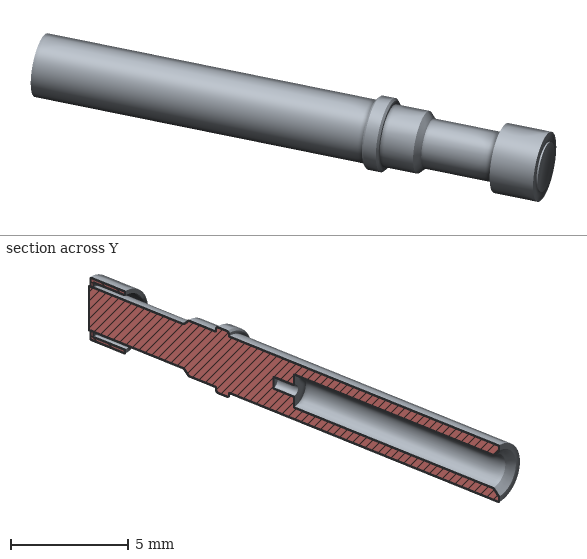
import cadquery as cq

total_length = 22.75
flange_start = 14.98
flange_width = 0.75
shoulder_end = 17.23
sleeve_start = 20.73
tip_projection = 0.07

barrel_radius = 1.39
flange_radius = 1.62
shoulder_radius = 1.37
shaft_radius = 1.1
flange_chamfer = 0.1

mouth_radius = 1.12
bore_radius = 0.8
countersink_depth = mouth_radius - bore_radius
bore_depth = 11.38
vent_radius = 0.27
vent_depth = 1.14

sleeve_radius = 1.52
sleeve_wall = 0.2
sleeve_floor = 0.2

flange_end = flange_start + flange_width
shoulder_cone_end = shoulder_end + shoulder_radius - shaft_radius
sleeve_end = total_length - tip_projection


def revolve_about_x(profile):
    """Revolve a closed profile of (x, radius) points about the X axis."""
    return cq.Workplane("XY").polyline(profile).close().revolve(360, (0, 0, 0), (1, 0, 0))


def make_contact():
    """Turned contact: drilled barrel, chamfered flange, shoulder and shaft."""
    outer = revolve_about_x([
        (0, 0),
        (0, barrel_radius),
        (flange_start, barrel_radius),
        (flange_start, flange_radius - flange_chamfer),
        (flange_start + flange_chamfer, flange_radius),
        (flange_end - flange_chamfer, flange_radius),
        (flange_end, flange_radius - flange_chamfer),
        (flange_end, shoulder_radius),
        (shoulder_end, shoulder_radius),
        (shoulder_cone_end, shaft_radius),
        (total_length, shaft_radius),
        (total_length, 0),
    ])
    bore = revolve_about_x([
        (0, 0),
        (0, mouth_radius),
        (countersink_depth, bore_radius),
        (bore_depth, bore_radius),
        (bore_depth, vent_radius),
        (bore_depth + vent_depth, vent_radius),
        (bore_depth + vent_depth, 0),
    ])
    return outer.cut(bore)


def make_sleeve():
    """Cup-shaped sleeve, open towards the barrel, whose floor grips the shaft."""
    inner_radius = sleeve_radius - sleeve_wall
    floor_start = sleeve_end - sleeve_floor
    return revolve_about_x([
        (sleeve_start, inner_radius),
        (sleeve_start, sleeve_radius),
        (sleeve_end, sleeve_radius),
        (sleeve_end, shaft_radius),
        (floor_start, shaft_radius),
        (floor_start, inner_radius),
    ])


contact = make_contact()
sleeve = make_sleeve()
result = cq.Compound.makeCompound([contact.val(), sleeve.val()])